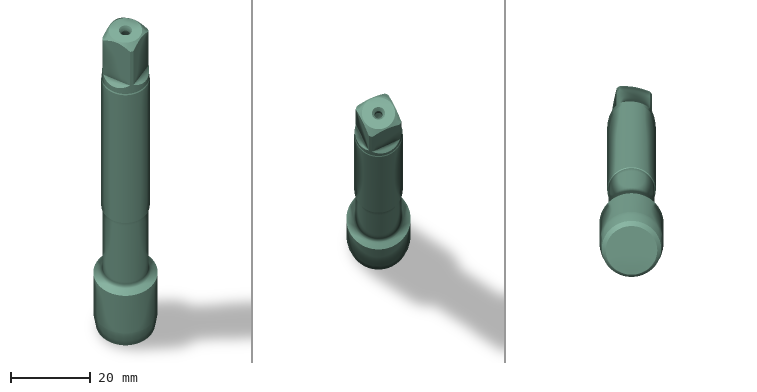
import cadquery as cq
import math

total_length = 110.0
nose_top = 1.1
lead_top = 6.2
head_shoulder = 20.1
collar_top = 21.1
neck_bottom = 22.1
shank_bottom = 44.9
shank_top = 92.8
shank_chamfer = 0.3
shank_bottom_chamfer = 0.16

head_diameter = 16.2
lead_diameter = 15.0
nose_diameter = 13.0
neck_diameter = 11.7
collar_diameter = 13.0
shank_diameter = 12.2
drive_diameter = 11.9

lead_bulge = 0.16

square_width = 9.0
square_bottom = 95.8
run_out_angle = 40
end_chamfer_height = 1.6
end_diameter = 8.4

centre_diameter = 2.0
countersink_diameter = 3.3
centre_depth = 2.8
countersink_angle = 60
drill_point_angle = 120


def revolve_about_axis(outline):
    """Turn a closed (radius, height) outline about Z."""
    return outline.close().revolve(360, (0, 0, 0), (0, 1, 0))


def make_cutting_head():
    """Cylindrical head with a chamfered nose, a rounded lead and a conical rear shoulder."""
    head_radius = head_diameter / 2
    lead_radius = lead_diameter / 2
    lead_middle = ((head_radius + lead_radius) / 2 + lead_bulge, (nose_top + lead_top) / 2)
    outline = (
        cq.Workplane("XZ")
        .lineTo(nose_diameter / 2, 0)
        .lineTo(lead_radius, nose_top)
        .threePointArc(lead_middle, (head_radius, lead_top))
        .lineTo(head_radius, head_shoulder)
        .lineTo(collar_diameter / 2, collar_top)
        .lineTo(0, collar_top)
    )
    return revolve_about_axis(outline)


def make_shank_blank():
    """Turned shank: neck flared at its foot by a tangent fillet, shank and round drive end."""
    neck_radius = neck_diameter / 2
    collar_radius = collar_diameter / 2
    shank_radius = shank_diameter / 2
    drive_radius = drive_diameter / 2
    outline = (
        cq.Workplane("XZ")
        .moveTo(0, total_length)
        .lineTo(end_diameter / 2, total_length)
        .lineTo(drive_radius, total_length - end_chamfer_height)
        .lineTo(drive_radius, shank_top)
        .lineTo(shank_radius, shank_top - shank_chamfer)
        .lineTo(shank_radius, shank_bottom + shank_bottom_chamfer)
        .lineTo(shank_radius - shank_bottom_chamfer, shank_bottom)
        .lineTo(neck_radius, shank_bottom)
        .lineTo(neck_radius, neck_bottom)
        .tangentArcPoint((collar_radius, collar_top), relative=False)
        .lineTo(0, collar_top)
    )
    return revolve_about_axis(outline)


def cut_square_drive(body):
    """Mill four flats, each running out along a slope."""
    flat = square_width / 2
    run_out = shank_diameter / 2 - flat
    run_out_drop = run_out * math.tan(math.radians(run_out_angle))
    flat_cutter = (
        cq.Workplane("XZ")
        .moveTo(flat, total_length)
        .lineTo(flat, square_bottom)
        .lineTo(flat + run_out, square_bottom - run_out_drop)
        .lineTo(flat + run_out, total_length)
        .close()
        .extrude(shank_diameter / 2, both=True)
    )
    flat_count = 4
    for index in range(flat_count):
        angle = index * 360 / flat_count
        body = body.cut(flat_cutter.rotate((0, 0, 0), (0, 0, 1), angle))
    return body


def cut_centre_hole(body):
    """Drill a countersunk centre hole with a conical bottom."""
    hole_radius = centre_diameter / 2
    sink_radius = countersink_diameter / 2
    sink_depth = (sink_radius - hole_radius) / math.tan(math.radians(countersink_angle / 2))
    point_depth = hole_radius / math.tan(math.radians(drill_point_angle / 2))
    hole_bottom = total_length - centre_depth
    outline = (
        cq.Workplane("XZ")
        .moveTo(0, total_length)
        .lineTo(sink_radius, total_length)
        .lineTo(hole_radius, total_length - sink_depth)
        .lineTo(hole_radius, hole_bottom)
        .lineTo(0, hole_bottom - point_depth)
    )
    return body.cut(revolve_about_axis(outline))


cutting_head = make_cutting_head()
shank = cut_centre_hole(cut_square_drive(make_shank_blank()))

result = cq.Compound.makeCompound([cutting_head.val(), shank.val()])